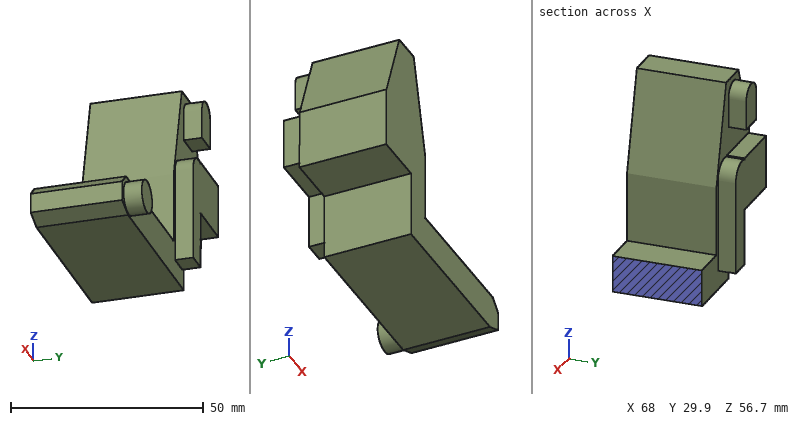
import cadquery as cq

length = 68.0
height = 56.7
body_depth = 25.0
foot_height = 10.3
stem_left = 15.1
stem_right = 23.8
head_bottom = 19.0
head_side_offset = 0.2
left_taper_start = 36.35
right_taper_start = 29.65
crown_left = 7.95
crown_right = 16.8
toe_bottom_x = 62.95
toe_top_x = 64.7
toe_low_z = 2.05
toe_high_z = 7.4

pad_height = 4.95
pin_diameter = 9.0
pin_radius = pin_diameter / 2
foot_pin_x = 62.25
foot_pin_z = 4.9

arch_width = 7.2
arch_left = 7.9
arch_bottom = 43.3
arch_top = 55.05

block_left = 0.95
block_right = 16.25
block_bottom = 21.0
block_top = 35.7

strap_right = 22.6
strap_bottom = 5.4


def back_plane():
    """Sketch plane on the +Y face, with local axes X and Z."""
    return cq.Workplane("XZ", origin=(0, body_depth, 0))


def rectangular_pad(left, right, bottom, top):
    width = right - left
    rise = top - bottom
    return back_plane().center(left, bottom).rect(width, rise, centered=False).extrude(-pad_height)


def round_pad(x, z):
    return back_plane().center(x, z).circle(pin_radius).extrude(-pad_height)


body = (
    cq.Workplane("XZ")
    .polyline([
        (stem_left, 0),
        (toe_bottom_x, 0),
        (length, toe_low_z),
        (length, toe_high_z),
        (toe_top_x, foot_height),
        (stem_right, foot_height),
        (stem_right, right_taper_start),
        (crown_right, height),
        (crown_left, height),
        (head_side_offset, left_taper_start),
        (0, head_bottom),
        (stem_left, head_bottom),
    ])
    .close()
    .extrude(-body_depth)
)

arch_radius = arch_width / 2
arch_right = arch_left + arch_width
arch_spring = arch_top - arch_radius
arch_pad = (
    back_plane()
    .moveTo(arch_left, arch_bottom)
    .lineTo(arch_right, arch_bottom)
    .lineTo(arch_right, arch_spring)
    .threePointArc((arch_left + arch_radius, arch_top), (arch_left, arch_spring))
    .close()
    .extrude(-pad_height)
)

block_pad = rectangular_pad(block_left, block_right, block_bottom, block_top)
strap_end_x = strap_right - pin_radius
strap_end_z = block_top - pin_radius
strap_pad = rectangular_pad(block_right, strap_right, strap_bottom, strap_end_z)
strap_end = round_pad(strap_end_x, strap_end_z)

foot_pin = round_pad(foot_pin_x, foot_pin_z)

result = body
for pad in (arch_pad, block_pad, strap_pad, strap_end, foot_pin):
    result = result.union(pad)